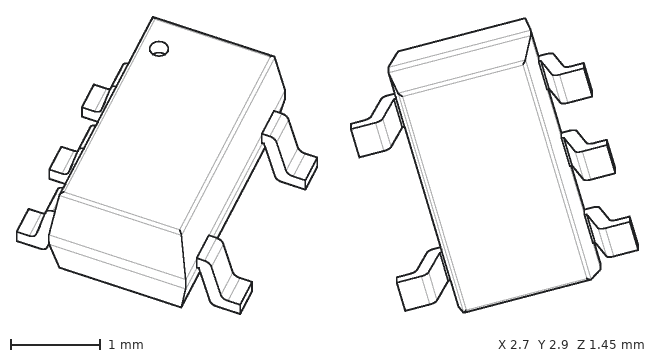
import cadquery as cq
import math

body_length = 2.9
body_width = 1.65
overall_width = 2.7
top_z = 1.45
body_bottom_z = 0.072

lead_thickness = 0.17
lead_top_z = 0.76
lead_bottom_z = lead_top_z - lead_thickness
lead_width = 0.35
lead_pitch = 0.95
lead_slope_angle = 14.0
lead_shoulder = 0.16
lead_bend_radius = 0.087

taper_inset = 0.093
body_edge_radius = 0.04

mark_diameter = 0.205
mark_depth = 0.203
mark_x = -0.49
mark_y = lead_pitch


def tapered_block(start_z, end_z):
    """Frustum from the full band outline at start_z to the inset outline at end_z."""
    return (
        cq.Workplane("XY", origin=(0, 0, start_z))
        .rect(body_width, body_length)
        .workplane(offset=end_z - start_z)
        .rect(body_width - 2 * taper_inset, body_length - 2 * taper_inset)
        .loft(ruled=True)
    )


def make_housing():
    """Band with a frustum above and below, rounded end faces and a blind pin 1 mark."""
    band = (
        cq.Workplane("XY", origin=(0, 0, lead_bottom_z))
        .rect(body_width, body_length)
        .extrude(lead_thickness)
    )
    upper = tapered_block(lead_top_z, top_z).faces(">Z").edges().fillet(body_edge_radius)
    lower = tapered_block(lead_bottom_z, body_bottom_z).faces("<Z").edges().fillet(body_edge_radius)
    mark = (
        cq.Workplane("XY", origin=(mark_x, mark_y, top_z - mark_depth))
        .circle(mark_diameter / 2)
        .extrude(mark_depth)
    )
    return band.union(upper).union(lower).cut(mark)


def make_lead(side, center_y):
    """Gull-wing lead; side is -1 or +1 for the -X or +X face of the housing."""
    slope = math.tan(math.radians(lead_slope_angle))
    slanted_width = lead_thickness / math.cos(math.radians(lead_slope_angle))
    root_x = body_width / 2
    tip_x = overall_width / 2
    shoulder_x = root_x + lead_shoulder
    heel_x = shoulder_x + slope * lead_top_z - slanted_width
    instep_x = shoulder_x + slope * (lead_top_z - lead_thickness)
    knee_x = shoulder_x + slope * lead_thickness - slanted_width
    profile = [
        (root_x, lead_top_z),
        (shoulder_x, lead_top_z),
        (instep_x, lead_thickness),
        (tip_x, lead_thickness),
        (tip_x, 0),
        (heel_x, 0),
        (knee_x, lead_bottom_z),
        (root_x, lead_bottom_z),
    ]
    rounded_corners = [profile[1], profile[2], profile[5]]
    lead = (
        cq.Workplane("XZ", origin=(0, center_y + lead_width / 2, 0))
        .polyline([(side * x, z) for x, z in profile])
        .close()
        .extrude(lead_width)
    )
    for x, z in rounded_corners:
        corner = cq.selectors.NearestToPointSelector((side * x, center_y, z))
        lead = lead.edges("|Y").edges(corner).fillet(lead_bend_radius)
    return lead


housing = make_housing()

lead_places = [(-1, -1), (-1, 0), (-1, 1), (1, -1), (1, 1)]
leads = [make_lead(side, row * lead_pitch) for side, row in lead_places]

result = cq.Compound.makeCompound([housing.val(), *[lead.val() for lead in leads]])